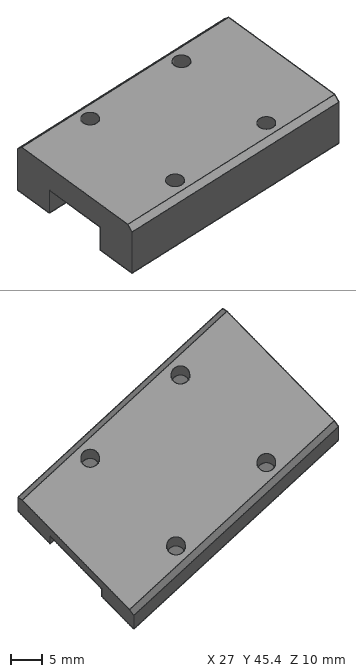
import cadquery as cq
import math

width = 27.0
length = 45.4
height = 10.0

edge_chamfer = 1.0

channel_width = 12.0
channel_depth = height / 2

hole_diameter = 3.0
hole_spacing = 20.0
hole_depth = 6.0
drill_point_angle = 118.0


def make_block():
    """Rectangular block with its two long top edges chamfered."""
    block = cq.Workplane("XY").box(width, length, height, centered=(True, True, False))
    return block.faces(">Z").edges("|Y").chamfer(edge_chamfer)


def make_channel():
    """Square-cornered channel cut up from the underside."""
    return cq.Workplane("XY").box(channel_width, length, channel_depth, centered=(True, True, False))


def make_drilled_hole():
    """Blind hole with a conical drill point, opening at the origin and going down."""
    radius = hole_diameter / 2
    point_depth = radius / math.tan(math.radians(drill_point_angle / 2))
    return (
        cq.Workplane("XZ")
        .lineTo(radius, 0)
        .lineTo(radius, -hole_depth)
        .lineTo(0, -hole_depth - point_depth)
        .close()
        .revolve(360, (0, 0, 0), (0, 1, 0))
    )


result = make_block().cut(make_channel())
for x_side in (-1, 1):
    for y_side in (-1, 1):
        hole_position = (x_side * hole_spacing / 2, y_side * hole_spacing / 2, height)
        result = result.cut(make_drilled_hole().translate(hole_position))